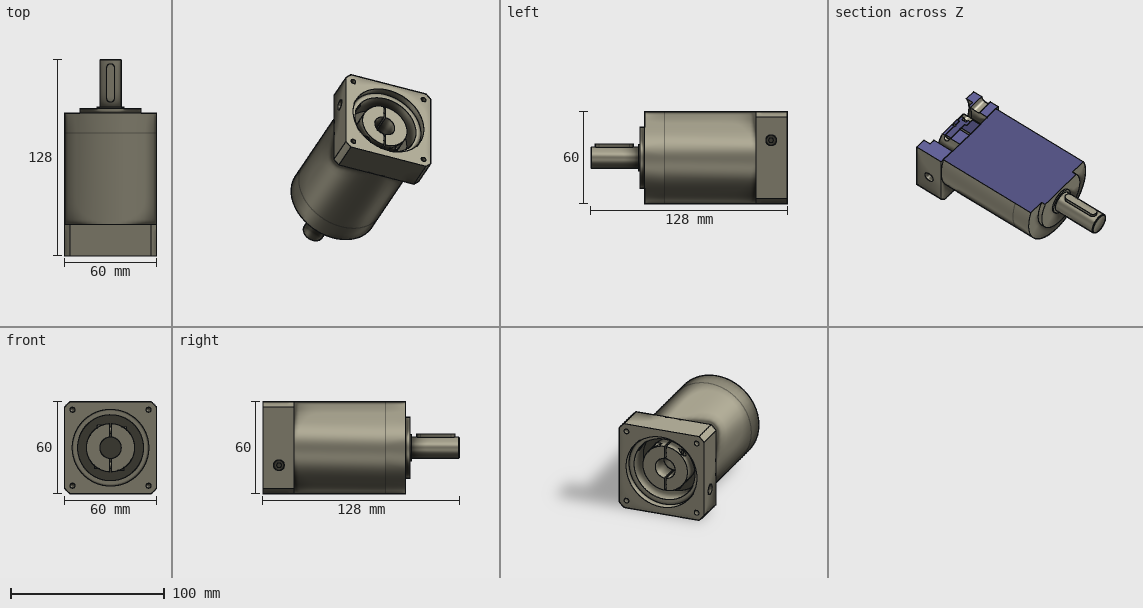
import cadquery as cq
import math

total_length = 128.0
body_size = 60.0

flange_length = 20.5
flange_corner_diameter = 80.0
pilot_diameter = 50.0
pilot_depth = 5.0
flange_bore_diameter = 43.0
bolt_circle_diameter = 70.0
bolt_hole_angles = (45, 135, 225, 315)
bolt_hole_diameter = 3.3
bolt_hole_depth = 10.0
drill_point_angle = 118.0
access_hole_diameter = 6.9
access_hole_y = 10.4

cover_length = 13.0
boss_diameter = 40.0
boss_length = 3.0
shaft_reach = 35.0
shaft_diameter = 14.0
shaft_chamfer = 0.5
shoulder_diameter = 17.5
shoulder_length = 1.0
key_width = 5.0
key_length = 25.0
key_end_gap = 2.8
key_top_height = 9.0
cover_face_y = total_length - shaft_reach
cover_start_y = cover_face_y - cover_length

hub_diameter = 31.4
hub_face_y = 6.2
hub_bore_diameter = 14.0
hub_slot_width = 1.2
hub_bore_end_y = 30.0

half_turns = (0, 180)

screw_diameter = 4.0
screw_shank_length = 15.0
screw_offset = 11.4
screw_y = 10.6
head_diameter = 7.0
head_length = 4.0
head_fillet = 0.5
head_top_x = 8.7
hex_across_flats = 3.0
hex_depth = 2.0


def cylinder_y(diameter, start_y, end_y):
    """Cylinder on the gearbox axis."""
    disc = cq.Workplane("XZ", origin=(0, start_y, 0)).circle(diameter / 2)
    return disc.extrude(start_y - end_y)


def cylinder_x(diameter, start_x, length, y):
    """Cylinder along +X at the height of the upper screw."""
    disc = cq.Workplane("YZ", origin=(start_x, y, screw_offset)).circle(diameter / 2)
    return disc.extrude(length)


def turned(shape, angle):
    """Shape turned about the gearbox axis."""
    return shape.rotate((0, 0, 0), (0, 1, 0), angle)


def make_bolt_hole():
    """Blind drilled hole on the Y axis, with a conical end."""
    radius = bolt_hole_diameter / 2
    point_length = radius / math.tan(math.radians(drill_point_angle / 2))
    profile = (
        cq.Workplane("XY")
        .lineTo(radius, 0)
        .lineTo(radius, bolt_hole_depth)
        .lineTo(0, bolt_hole_depth + point_length)
        .close()
    )
    return profile.revolve(360, (0, 0, 0), (0, 1, 0))


def make_flange():
    square = cq.Workplane("XZ").rect(body_size, body_size).extrude(-flange_length)
    flange = square.intersect(cylinder_y(flange_corner_diameter, 0, flange_length))
    flange = flange.cut(cylinder_y(pilot_diameter, 0, pilot_depth))
    flange = flange.cut(cylinder_y(flange_bore_diameter, 0, flange_length))
    bolt_radius = bolt_circle_diameter / 2
    for angle in bolt_hole_angles:
        position = cq.Vector(bolt_radius, 0, 0)
        hole = make_bolt_hole().translate(position)
        flange = flange.cut(turned(hole, angle))
    access_hole = cylinder_x(access_hole_diameter, -body_size / 2, body_size / 2, access_hole_y)
    for angle in half_turns:
        flange = flange.cut(turned(access_hole, angle))
    return flange


def make_gearbox():
    """Ring housing, cover, centring boss, output shaft and key, with the motor shaft bore."""
    boss_end_y = cover_face_y + boss_length
    shoulder_end_y = boss_end_y + shoulder_length
    shaft = cylinder_y(shaft_diameter, shoulder_end_y, total_length)
    shaft = shaft.faces(">Y").chamfer(shaft_chamfer)
    key_center_y = total_length - key_end_gap - key_length / 2
    key = (
        cq.Workplane("XY", origin=(0, key_center_y, 0))
        .slot2D(key_length, key_width, 90)
        .extrude(key_top_height)
    )
    ring = cylinder_y(body_size, flange_length, cover_start_y)
    ring = ring.cut(cylinder_y(hub_bore_diameter, flange_length, hub_bore_end_y))
    cover = cylinder_y(body_size, cover_start_y, cover_face_y)
    gearbox = ring.union(cover, clean=False)
    gearbox = gearbox.union(cylinder_y(boss_diameter, cover_face_y, boss_end_y), clean=False)
    gearbox = gearbox.union(cylinder_y(shoulder_diameter, boss_end_y, shoulder_end_y), clean=False)
    return gearbox.union(shaft.union(key), clean=False)


def make_clamp_half(angle):
    """Half of the hub on the -X side, with a head seat above and a plain screw hole below."""
    half = cylinder_y(hub_diameter, hub_face_y, flange_length)
    half = half.cut(cylinder_y(hub_bore_diameter, hub_face_y, flange_length))
    other_side = (
        cq.Workplane("XZ", origin=(-hub_slot_width / 2, hub_face_y, 0))
        .rect(hub_diameter, 2 * hub_diameter, centered=(False, True))
        .extrude(hub_face_y - flange_length)
    )
    half = half.cut(other_side)
    screw_hole = cylinder_x(screw_diameter, -hub_diameter / 2, hub_diameter, screw_y)
    for hole_angle in half_turns:
        half = half.cut(turned(screw_hole, hole_angle))
    head_seat_length = hub_diameter / 2 - head_top_x + head_length
    half = half.cut(cylinder_x(head_diameter, -hub_diameter / 2, head_seat_length, screw_y))
    return turned(half, angle)


def make_screw(angle):
    head = cylinder_x(head_diameter, -head_top_x, head_length, screw_y)
    head = head.faces("<X").edges().fillet(head_fillet)
    shank = cylinder_x(screw_diameter, head_length - head_top_x, screw_shank_length, screw_y)
    hex_corner_diameter = hex_across_flats / math.cos(math.pi / 6)
    socket = (
        cq.Workplane("YZ", origin=(-head_top_x, screw_y, screw_offset))
        .polygon(6, hex_corner_diameter)
        .extrude(hex_depth)
    )
    return turned(head.union(shank).cut(socket), angle)


flange = make_flange()
gearbox = make_gearbox()
clamp_halves = [make_clamp_half(angle) for angle in half_turns]
screws = [make_screw(angle) for angle in half_turns]

result = cq.Compound.makeCompound(
    [
        flange.val(),
        gearbox.val(),
        *[half.val() for half in clamp_halves],
        *[screw.val() for screw in screws],
    ]
)